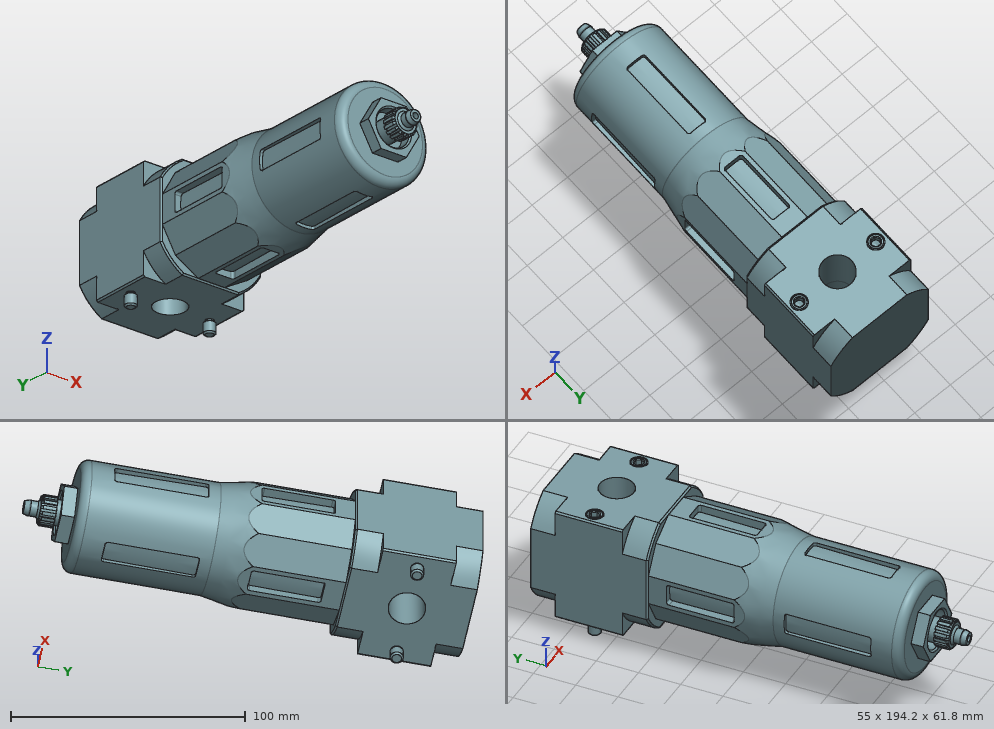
import cadquery as cq
import math


HEAD_SIZE = 55.0
HALF_HEAD = HEAD_SIZE / 2
HEAD_END_Y = -28.0
EDGE_CHAMFER = 0.8
CORNER_RADIUS = 31.5
CORNER_BLOCK_WIDTH = 31.8
PORT_DIAMETER = 16.0

GRIP_SIDES = 12
GRIP_ACROSS_FLATS = 53.6
GRIP_CONE_START_Y = -68.5
BOWL_RADIUS = 24.5
NECK_END_Y = -85.8
BOWL_END_Y = -146.0
BOWL_FILLET = 4.0

WINDOW_COUNT = 4
WINDOW_WIDTH = 10.1
WINDOW_CORNER = 1.2
UPPER_WINDOW_ENDS = (-36.5, -68.5)
LOWER_WINDOW_ENDS = (-91.0, -132.0)
WINDOW_FLOOR_TOP_RADIUS = 23.7
WINDOW_FLOOR_END_RADIUS = 22.3

HEX_ACROSS_FLATS = 24.0
HEX_END_Y = -151.9
RECESS_DIAMETER = 18.0
RECESS_DEPTH = BOWL_END_Y - HEX_END_Y
RECESS_CHAMFER = 0.8

SCREW_X = 21.5
SCREW_HEAD_DIAMETER = 7.8
SCREW_HEAD_HEIGHT = 5.8
SCREW_HEAD_CHAMFER = 0.5
SCREW_SHANK_DIAMETER = 4.0
SCREW_THREAD_DIAMETER = 5.6
SCREW_THREAD_LENGTH = 6.2
SCREW_THREAD_CHAMFER = 0.8
SCREW_PROTRUSION = 6.8
SOCKET_ACROSS_FLATS = 4.0
SOCKET_DEPTH = 3.0
SOCKET_MOUTH_DIAMETER = 5.0
SOCKET_CONE_DEPTH = 1.0

OVERALL_LENGTH = 194.2
DRAIN_END_Y = HALF_HEAD - OVERALL_LENGTH
DRAIN_NECK_DIAMETER = 11.3
KNURL_DIAMETER = 13.5
KNURL_START_Y = -153.2
KNURL_END_Y = -160.0
KNURL_CHAMFER = 1.0
KNURL_GROOVES = 16
KNURL_GROOVE_WIDTH = 1.2
KNURL_GROOVE_DEPTH = 1.0
SHOULDER_DIAMETER = 9.0
STEM_DIAMETER = 6.8
STEM_START_Y = -161.0
STEM_RING_DIAMETER = 7.0
STEM_RING_Y = -164.1
STEM_RING_END_Y = -164.5
STEM_TIP_DIAMETER = 5.6
DRAIN_BORE_DIAMETER = 3.0
DRAIN_BORE_DEPTH = 3.9


def plane_facing_down_y(y):
    """Plane across the bowl axis at height y, with its normal along -Y."""
    return cq.Workplane(cq.Plane(origin=(0, y, 0), xDir=(1, 0, 0), normal=(0, -1, 0)))


def across_corners(across_flats, sides):
    return across_flats / math.cos(math.pi / sides)


def revolve_about_y(profile):
    """Turn a list of (radius, y) points about the Y axis."""
    return cq.Workplane("XY").polyline(profile).close().revolve(360, (0, 0, 0), (0, 1, 0))


def make_head():
    middle = (
        cq.Workplane("XY")
        .box(HEAD_SIZE, CORNER_BLOCK_WIDTH, HEAD_SIZE)
        .edges("|Y").chamfer(EDGE_CHAMFER)
    )
    square = plane_facing_down_y(HALF_HEAD).rect(HEAD_SIZE, HEAD_SIZE).extrude(HALF_HEAD - HEAD_END_Y)
    disc = plane_facing_down_y(HALF_HEAD).circle(CORNER_RADIUS).extrude(HALF_HEAD - HEAD_END_Y)
    rounded = square.intersect(disc).faces("<Y").chamfer(EDGE_CHAMFER)
    return rounded.union(middle)


def make_grip():
    """Twelve-sided grip, trimmed at its lower end by the cone of the neck."""
    corner_radius = across_corners(GRIP_ACROSS_FLATS, GRIP_SIDES) / 2
    prism = (
        plane_facing_down_y(HEAD_END_Y)
        .polygon(GRIP_SIDES, 2 * corner_radius)
        .extrude(HEAD_END_Y - NECK_END_Y)
        .rotate((0, 0, 0), (0, 1, 0), 180 / GRIP_SIDES)
    )
    cone = revolve_about_y([
        (0, HEAD_END_Y),
        (corner_radius, HEAD_END_Y),
        (corner_radius, GRIP_CONE_START_Y),
        (BOWL_RADIUS, NECK_END_Y),
        (0, NECK_END_Y),
    ])
    return prism.intersect(cone)


def make_bowl():
    return (
        plane_facing_down_y(NECK_END_Y)
        .circle(BOWL_RADIUS)
        .extrude(NECK_END_Y - BOWL_END_Y)
        .faces("<Y").edges().fillet(BOWL_FILLET)
    )


def make_hex_boss():
    return (
        plane_facing_down_y(BOWL_END_Y)
        .polygon(6, across_corners(HEX_ACROSS_FLATS, 6))
        .extrude(BOWL_END_Y - HEX_END_Y)
    )


def make_window_floor():
    """Cone about the bowl axis on which the floors of all windows lie."""
    top_y = UPPER_WINDOW_ENDS[0]
    end_y = LOWER_WINDOW_ENDS[1]
    return revolve_about_y([
        (0, top_y),
        (WINDOW_FLOOR_TOP_RADIUS, top_y),
        (WINDOW_FLOOR_END_RADIUS, end_y),
        (0, end_y),
    ])


def make_window_slot(ends):
    """Round-cornered slot that reaches outward from the bowl axis along +Z."""
    start_y, end_y = ends
    return (
        cq.Workplane("XY")
        .center(0, (start_y + end_y) / 2)
        .rect(WINDOW_WIDTH, start_y - end_y)
        .extrude(HEAD_SIZE)
        .edges("|Z").fillet(WINDOW_CORNER)
    )


def cut_windows(body):
    floor = make_window_floor()
    for ends in (UPPER_WINDOW_ENDS, LOWER_WINDOW_ENDS):
        cutter = make_window_slot(ends).cut(floor)
        for i in range(WINDOW_COUNT):
            body = body.cut(cutter.rotate((0, 0, 0), (0, 1, 0), i * 360 / WINDOW_COUNT))
    return body


def make_recess_cutter():
    radius = RECESS_DIAMETER / 2
    floor_y = HEX_END_Y + RECESS_DEPTH
    return revolve_about_y([
        (0, floor_y),
        (radius, floor_y),
        (radius, HEX_END_Y + RECESS_CHAMFER),
        (radius + RECESS_CHAMFER, HEX_END_Y),
        (0, HEX_END_Y),
    ])


def make_screw_hole(x):
    """Stepped clearance hole that fits the screw head and its shank."""
    shank = (
        cq.Workplane("XY", origin=(x, 0, -HALF_HEAD))
        .circle(SCREW_SHANK_DIAMETER / 2)
        .extrude(HEAD_SIZE)
    )
    counterbore = (
        cq.Workplane("XY", origin=(x, 0, HALF_HEAD))
        .circle(SCREW_HEAD_DIAMETER / 2)
        .extrude(-SCREW_HEAD_HEIGHT)
    )
    return shank.union(counterbore)


def make_housing():
    body = make_head().union(make_grip()).union(make_bowl()).union(make_hex_boss())
    body = cut_windows(body)
    body = body.cut(make_recess_cutter())
    port = cq.Workplane("XY").circle(PORT_DIAMETER / 2).extrude(HALF_HEAD, both=True)
    body = body.cut(port)
    for x in (-SCREW_X, SCREW_X):
        body = body.cut(make_screw_hole(x))
    return body


def make_socket_cutter(x):
    """Hexagon socket with a countersunk mouth and a conical bottom."""
    hexagon = (
        cq.Workplane("XY", origin=(x, 0, HALF_HEAD))
        .polygon(6, across_corners(SOCKET_ACROSS_FLATS, 6))
        .extrude(-SOCKET_DEPTH)
    )
    flat_radius = SOCKET_ACROSS_FLATS / 2
    mouth_radius = SOCKET_MOUTH_DIAMETER / 2
    cones = (
        cq.Workplane("XZ", origin=(x, 0, HALF_HEAD))
        .polyline([
            (0, -SOCKET_DEPTH - SOCKET_CONE_DEPTH),
            (flat_radius, -SOCKET_DEPTH),
            (flat_radius, flat_radius - mouth_radius),
            (mouth_radius, 0),
            (0, 0),
        ])
        .close()
        .revolve(360, (0, 0, 0), (0, 1, 0))
    )
    return hexagon.union(cones)


def make_screw(x):
    """Captive screw: socket head, thin shank and a thicker threaded end."""
    tip_z = -HALF_HEAD - SCREW_PROTRUSION
    head = (
        cq.Workplane("XY", origin=(x, 0, HALF_HEAD))
        .circle(SCREW_HEAD_DIAMETER / 2)
        .extrude(-SCREW_HEAD_HEIGHT)
        .faces(">Z").chamfer(SCREW_HEAD_CHAMFER)
    )
    shank = (
        cq.Workplane("XY", origin=(x, 0, tip_z))
        .circle(SCREW_SHANK_DIAMETER / 2)
        .extrude(HALF_HEAD - SCREW_HEAD_HEIGHT - tip_z)
    )
    thread = (
        cq.Workplane("XY", origin=(x, 0, tip_z))
        .circle(SCREW_THREAD_DIAMETER / 2)
        .extrude(SCREW_THREAD_LENGTH)
        .faces("<Z or >Z").chamfer(SCREW_THREAD_CHAMFER)
    )
    return head.union(shank).union(thread).cut(make_socket_cutter(x))


def make_drain():
    """Turned drain valve with a knurled collar and a hose stem."""
    knurl_radius = KNURL_DIAMETER / 2
    valve = revolve_about_y([
        (0, HEX_END_Y + RECESS_DEPTH),
        (DRAIN_NECK_DIAMETER / 2, HEX_END_Y + RECESS_DEPTH),
        (DRAIN_NECK_DIAMETER / 2, KNURL_START_Y),
        (knurl_radius, KNURL_START_Y),
        (knurl_radius, KNURL_END_Y + KNURL_CHAMFER),
        (knurl_radius - KNURL_CHAMFER, KNURL_END_Y),
        (SHOULDER_DIAMETER / 2, KNURL_END_Y),
        (STEM_DIAMETER / 2, STEM_START_Y),
        (STEM_DIAMETER / 2, STEM_RING_Y),
        (STEM_RING_DIAMETER / 2, STEM_RING_Y),
        (STEM_RING_DIAMETER / 2, STEM_RING_END_Y),
        (STEM_TIP_DIAMETER / 2, DRAIN_END_Y),
        (0, DRAIN_END_Y),
    ])
    groove = (
        plane_facing_down_y(KNURL_START_Y)
        .center(0, knurl_radius)
        .rect(KNURL_GROOVE_WIDTH, 2 * KNURL_GROOVE_DEPTH)
        .extrude(KNURL_START_Y - KNURL_END_Y)
    )
    pitch = 360 / KNURL_GROOVES
    for i in range(KNURL_GROOVES):
        valve = valve.cut(groove.rotate((0, 0, 0), (0, 1, 0), (i + 0.5) * pitch))
    bore = plane_facing_down_y(DRAIN_END_Y).circle(DRAIN_BORE_DIAMETER / 2).extrude(-DRAIN_BORE_DEPTH)
    return valve.cut(bore)


housing = make_housing()
screws = [make_screw(x) for x in (-SCREW_X, SCREW_X)]
drain = make_drain()

result = cq.Compound.makeCompound([
    housing.val(),
    *[screw.val() for screw in screws],
    drain.val(),
])